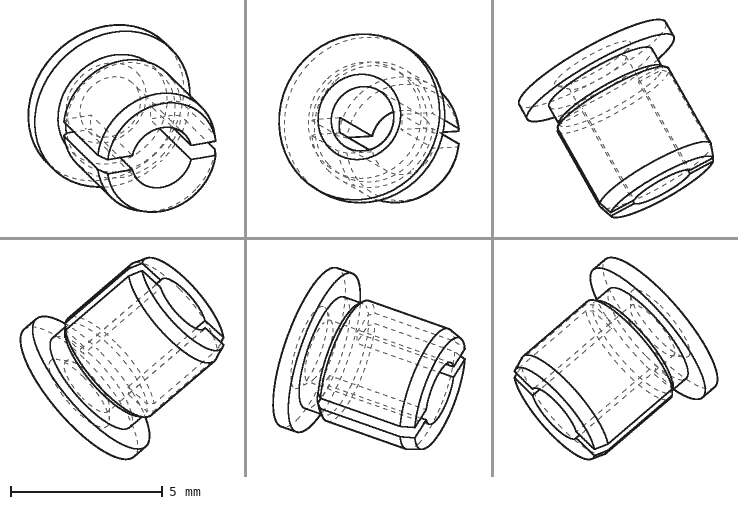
import cadquery as cq

total_length = 4.78
flange_diameter = 5.56
flange_thickness = 0.56
neck_diameter = 3.9
neck_end = 1.25
body_diameter = 4.22
tip_diameter = neck_diameter
tip_length = 0.46
bore_diameter = 2.16
countersink_diameter = 2.86
slot_width = 0.51
slot_start = 1.23

flange_radius = flange_diameter / 2
neck_radius = neck_diameter / 2
body_radius = body_diameter / 2
tip_radius = tip_diameter / 2
bore_radius = bore_diameter / 2
countersink_radius = countersink_diameter / 2
shoulder_length = body_radius - neck_radius
countersink_depth = countersink_radius - bore_radius


def make_bushing():
    """Flanged sleeve with a countersunk bore, revolved about the X axis."""
    profile = (
        cq.Workplane("XZ")
        .moveTo(0, countersink_radius)
        .lineTo(0, flange_radius)
        .lineTo(flange_thickness, flange_radius)
        .lineTo(flange_thickness, neck_radius)
        .lineTo(neck_end, neck_radius)
        .lineTo(neck_end + shoulder_length, body_radius)
        .lineTo(total_length - tip_length, body_radius)
        .lineTo(total_length, tip_radius)
        .lineTo(total_length, bore_radius)
        .lineTo(countersink_depth, bore_radius)
        .close()
    )
    return profile.revolve(360, (0, 0, 0), (1, 0, 0))


def make_slot():
    """Cutter that splits the sleeve along Y, open at the tip."""
    slot_length = total_length - slot_start
    cutter = cq.Workplane("XY").box(
        slot_length, flange_diameter, slot_width, centered=(False, True, True)
    )
    return cutter.translate((slot_start, 0, 0))


result = make_bushing().cut(make_slot())